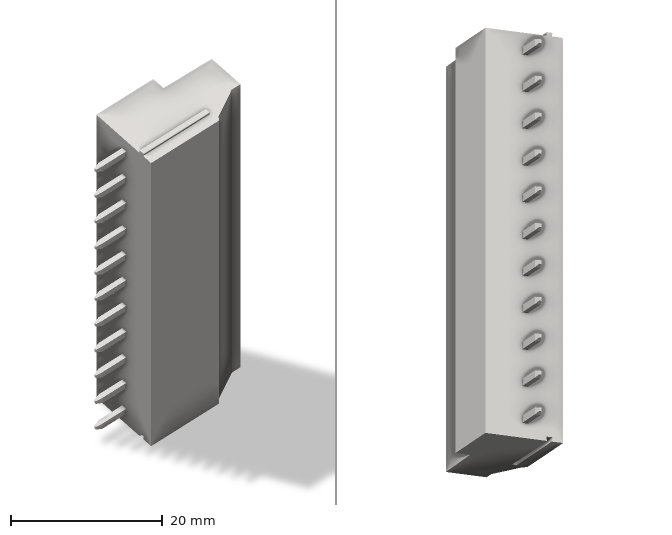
import cadquery as cq
POLE_COUNT = 11
PITCH = 5.08
WIDTH = 11.2
DEPTH = 18.0
HEIGHT = POLE_COUNT * PITCH

STEP_X = 2.1
STEP_Y = 9.8
NECK_LEFT_X = 2.24
NECK_RIGHT_X = 8.1
NECK_RIGHT_Y = 16.5
SHOULDER_X = 10.6
SHOULDER_Y = 12.1
CORNER_Y = 11.7

RAIL_LEFT_X = 8.73
RAIL_RIGHT_X = 9.7
RAIL_LENGTH = 11.4
RAIL_HEIGHT = 0.5
RAIL_UNDERCUT = 0.15
RAIL_EDGE_RADIUS = 0.12
GROOVE_DEPTH = 0.6

PIN_X = 5.7
PIN_WIDTH = 0.8
PIN_THICKNESS = 1.0
PIN_LENGTH = 5.0
PIN_TIP_LENGTH = 0.9
PIN_TIP_WIDTH = 0.3
PIN_TIP_THICKNESS = 0.5

BUMP_X = 3.37
BUMP_DIAMETER = 0.88
BUMP_HEIGHT = 0.4
BUMP_GAPS = (1, 2, 4, 5, 7, 8, 10)


def make_housing():
    """Stepped block with a sloped rear corner, extruded along Z."""
    outline = [
        (0, 0),
        (WIDTH, 0),
        (WIDTH, CORNER_Y),
        (SHOULDER_X, SHOULDER_Y),
        (NECK_RIGHT_X, NECK_RIGHT_Y),
        (NECK_RIGHT_X, DEPTH),
        (NECK_LEFT_X, DEPTH),
        (STEP_X, STEP_Y),
        (0, STEP_Y),
    ]
    return cq.Workplane("XY").polyline(outline).close().extrude(HEIGHT)


def make_rail(base_z, rise):
    """Dovetail bar with rounded upper edges, running back from the front face."""
    section = [
        (RAIL_LEFT_X + RAIL_UNDERCUT, base_z),
        (RAIL_RIGHT_X - RAIL_UNDERCUT, base_z),
        (RAIL_RIGHT_X, base_z + rise),
        (RAIL_LEFT_X, base_z + rise),
    ]
    rail = cq.Workplane("XZ").polyline(section).close().extrude(-RAIL_LENGTH)
    return rail.faces(">Z").edges("|Y").fillet(RAIL_EDGE_RADIUS)


def make_pin(z):
    """Rectangular pin ending in a tapered tip."""
    shank_length = PIN_LENGTH - PIN_TIP_LENGTH
    pin_plane = cq.Workplane("XZ", origin=(PIN_X, 0, z))
    shank = pin_plane.rect(PIN_WIDTH, PIN_THICKNESS).extrude(shank_length)
    tip = (
        pin_plane.workplane(offset=shank_length)
        .rect(PIN_WIDTH, PIN_THICKNESS)
        .workplane(offset=PIN_TIP_LENGTH)
        .rect(PIN_TIP_WIDTH, PIN_TIP_THICKNESS)
        .loft(combine=False)
    )
    return shank.union(tip)


def make_bump(z):
    """Spherical cap raised from the rear face."""
    base_radius = BUMP_DIAMETER / 2
    sphere_radius = (base_radius**2 + BUMP_HEIGHT**2) / (2 * BUMP_HEIGHT)
    centre_y = DEPTH + BUMP_HEIGHT - sphere_radius
    return cq.Workplane("XY", origin=(BUMP_X, centre_y, z)).sphere(sphere_radius)


result = make_housing()
result = result.union(make_rail(HEIGHT, RAIL_HEIGHT))
result = result.cut(make_rail(0, GROOVE_DEPTH))
for pole in range(POLE_COUNT):
    result = result.union(make_pin((pole + 0.5) * PITCH))
for gap in BUMP_GAPS:
    result = result.union(make_bump(gap * PITCH))